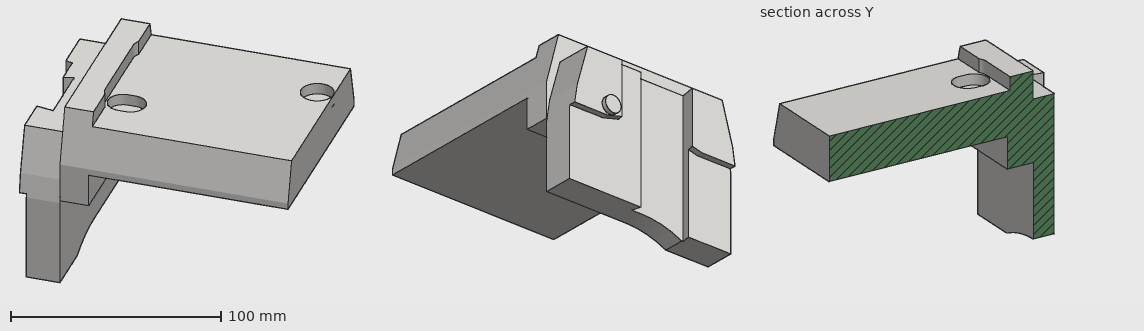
import cadquery as cq
import math

length = 137.2
half_width = 100.0 / 2
height = 93.5

pad_face_x = 2.6
apron_face_x = 6.2
channel_floor_x = 11.3
slab_front_x = 23.0
slab_back_x = 37.5

slab_bottom_z = 45.5
slab_top_half_width = 42.7
shoulder_z = 65.6
plate_top_z = 86.3
plate_bottom_z = 62.5

apron_top_z = 78.9
apron_top_half_width = 41.7
bend_half_width = 48.2
bend_z = 56.0
apron_side_z = 44.0
pad_bottom_z = 46.0
pad_slope_half_width = 29.2
left_pad_edge_y = 20.6
left_pad_draft = 0.8
left_pad_corner_z = 48.3
right_pad_corner_z = 47.5

channel_left_y = 5.8
channel_left_undercut = 1.2
channel_right_y = -23.2
channel_right_undercut = 1.5
apron_raised_bottom_z = 5.9
bottom_arc_start_y = 0.7

pin_diameter = 9.5
pin_y = 28.0
pin_z = 51.5

round_pocket_diameter = 16.0
pocket_depth = 5.8
round_pocket_x = 129.0
round_pocket_y = 19.1
slot_x = 46.3
slot_y = -19.0
slot_length = 18.8
slot_width = 15.1

relief_depth = 1.4
relief_half_width = 28.1
relief_corner_radius = 6.9


def box(x0, x1, y0, y1, z0, z1):
    return cq.Workplane("XY").box(x1 - x0, y1 - y0, z1 - z0, centered=False).translate((x0, y0, z0))


def along_x(x0, x1, points):
    """Extrude a closed (Y, Z) outline from x0 to x1."""
    return cq.Workplane("YZ", origin=(x0, 0, 0)).polyline(points).close().extrude(x1 - x0)


def through_z(points):
    """Extrude a closed (X, Y) outline over the full height."""
    return cq.Workplane("XY").polyline(points).close().extrude(height)


def make_slab_and_plate():
    envelope = along_x(slab_front_x, length, [
        (-half_width, slab_bottom_z),
        (half_width, slab_bottom_z),
        (half_width, shoulder_z),
        (slab_top_half_width, height),
        (-slab_top_half_width, height),
        (-half_width, shoulder_z),
    ])
    above = box(slab_back_x, length, -half_width, half_width, plate_top_z, height)
    below = box(slab_back_x, length, -half_width, half_width, slab_bottom_z, plate_bottom_z)
    return envelope.cut(above).cut(below)


def make_apron_blank():
    """Full apron thickness, with the left part of its foot raised and blended by an arc."""
    foot_edge_y = channel_edge_y(apron_face_x)
    run = bottom_arc_start_y - foot_edge_y
    radius = (run**2 + apron_raised_bottom_z**2) / (2 * apron_raised_bottom_z)
    half_angle = math.asin(run / radius) / 2
    arc_middle = (
        bottom_arc_start_y - radius * math.sin(half_angle),
        apron_raised_bottom_z - radius * (1 - math.cos(half_angle)),
    )
    return (
        cq.Workplane("YZ", origin=(pad_face_x, 0, 0))
        .moveTo(-half_width, 0)
        .lineTo(foot_edge_y, 0)
        .threePointArc(arc_middle, (bottom_arc_start_y, apron_raised_bottom_z))
        .lineTo(half_width, apron_raised_bottom_z)
        .lineTo(half_width, apron_side_z)
        .lineTo(bend_half_width, bend_z)
        .lineTo(apron_top_half_width, apron_top_z)
        .lineTo(-apron_top_half_width, apron_top_z)
        .lineTo(-bend_half_width, bend_z)
        .lineTo(-half_width, apron_side_z)
        .close()
        .extrude(slab_front_x - pad_face_x)
    )


def channel_edge_y(x):
    """Y of the undercut right wall of the channel at a given X."""
    fraction = (x - pad_face_x) / (channel_floor_x - pad_face_x)
    return channel_right_y - channel_right_undercut * fraction


def make_below_pads():
    """Material to remove below the pads, whose lower inner corners slope upward."""
    return along_x(pad_face_x, apron_face_x, [
        (-half_width, 0),
        (half_width, 0),
        (half_width, pad_bottom_z),
        (pad_slope_half_width, pad_bottom_z),
        (left_pad_edge_y, left_pad_corner_z),
        (channel_right_y, right_pad_corner_z),
        (-pad_slope_half_width, pad_bottom_z),
        (-half_width, pad_bottom_z),
    ])


def make_channel():
    """Opening between the pads and the deeper channel with undercut walls."""
    return through_z([
        (pad_face_x, channel_right_y),
        (channel_floor_x, channel_right_y - channel_right_undercut),
        (channel_floor_x, channel_left_y + channel_left_undercut),
        (apron_face_x, channel_left_y),
        (apron_face_x, left_pad_edge_y - left_pad_draft),
        (pad_face_x, left_pad_edge_y),
    ])


def make_pin():
    return (
        cq.Workplane("YZ")
        .center(pin_y, pin_z)
        .circle(pin_diameter / 2)
        .extrude(apron_face_x)
    )


def make_pockets():
    floor = cq.Workplane("XY", origin=(0, 0, plate_top_z - pocket_depth))
    round_floor = floor.center(round_pocket_x, round_pocket_y)
    round_pocket = round_floor.circle(round_pocket_diameter / 2).extrude(pocket_depth)
    slot_floor = floor.center(slot_x, slot_y)
    slot = slot_floor.slot2D(slot_length, slot_width).extrude(pocket_depth)
    return round_pocket.union(slot)


def make_relief():
    front_x = slab_back_x - relief_depth
    back_x = slab_back_x + 2 * relief_corner_radius
    return (
        box(front_x, back_x, -relief_half_width, relief_half_width, plate_top_z, height)
        .edges("|Z")
        .fillet(relief_corner_radius)
    )


apron = make_apron_blank().cut(make_below_pads()).cut(make_channel())
body = make_slab_and_plate().cut(make_relief()).cut(make_pockets())
result = body.union(apron).union(make_pin())